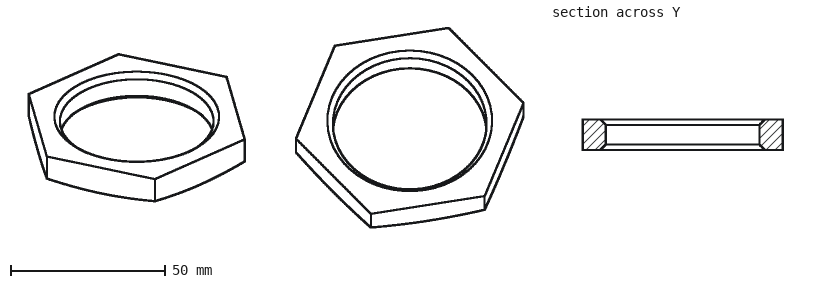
import cadquery as cq
import math

corner_diameter = 75.05
thickness = 10.0
bore_diameter = 49.85
countersink_diameter = 53.45
countersink_angle = 45.0
bearing_diameter = 64.7
corner_bevel_angle = 15.0

bore_radius = bore_diameter / 2
countersink_radius = countersink_diameter / 2
countersink_depth = (countersink_radius - bore_radius) * math.tan(math.radians(countersink_angle))
bearing_radius = bearing_diameter / 2
corner_radius = corner_diameter / 2
bevel_height = (corner_radius - bearing_radius) * math.tan(math.radians(corner_bevel_angle))


def hexagon_prism():
    """Hexagon with flats facing +X and -X."""
    return (
        cq.Workplane("XY")
        .transformed(rotate=(0, 0, 90))
        .polygon(6, corner_diameter)
        .extrude(thickness)
    )


def turned_ring():
    """Revolved envelope: bevelled lower outside edge and a bore countersunk at both ends."""
    profile = [
        (countersink_radius, 0),
        (bearing_radius, 0),
        (corner_radius, bevel_height),
        (corner_radius, thickness),
        (countersink_radius, thickness),
        (bore_radius, thickness - countersink_depth),
        (bore_radius, countersink_depth),
    ]
    return cq.Workplane("XZ").polyline(profile).close().revolve(360, (0, 0), (0, 1))


result = hexagon_prism().intersect(turned_ring())